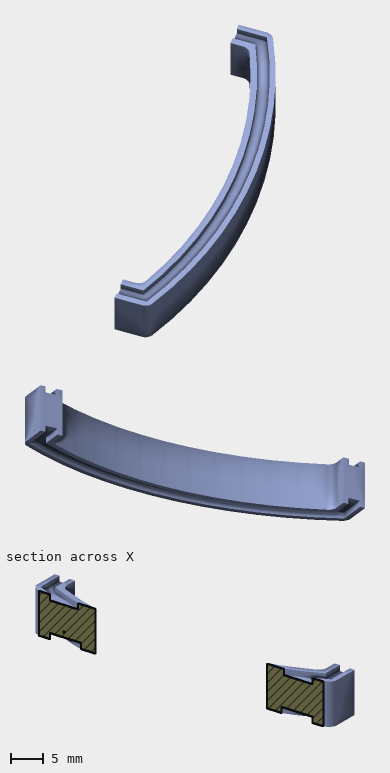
import cadquery as cq
import math

HEIGHT = 7.62
SPAN = 56.77
DEPTH = 12.17
BAR_WIDTH = 3.81
OUTER_RADIUS = 63.0
CORNER_RADIUS = 1.5

OUTER_WALL = 0.889
TOP_GROOVE_WIDTH = 1.905
BOTTOM_GROOVE_WIDTH = 2.06
GROOVE_DEPTH = 1.016

HALF_SPAN = SPAN / 2
ARC_CENTER_X = DEPTH - OUTER_RADIUS


def arc_corner(inset):
    """Point where the leg line meets the arc, both moved inward by inset."""
    y = HALF_SPAN - inset
    radius = OUTER_RADIUS - inset
    return ARC_CENTER_X + math.sqrt(radius**2 - y**2), y


def band(outer_inset, inner_inset, bottom, height):
    """Solid strip that follows the bow between two insets from its outer edge."""
    outer_x, outer_y = arc_corner(outer_inset)
    inner_x, inner_y = arc_corner(inner_inset)
    return (
        cq.Workplane("XY", origin=(0, 0, bottom))
        .moveTo(0, -outer_y)
        .lineTo(outer_x, -outer_y)
        .threePointArc((DEPTH - outer_inset, 0), (outer_x, outer_y))
        .lineTo(0, outer_y)
        .lineTo(0, inner_y)
        .lineTo(inner_x, inner_y)
        .threePointArc((DEPTH - inner_inset, 0), (inner_x, -inner_y))
        .lineTo(0, -inner_y)
        .close()
        .extrude(height)
    )


def make_bar():
    """Full-height bow with rounded bends between the legs and the arc."""
    bar = band(0, BAR_WIDTH, 0, HEIGHT)
    return bar.edges("|Z").edges("not <X").fillet(CORNER_RADIUS)


def make_groove(width, bottom):
    """Sharp-cornered cutter for one groove, open at both leg ends."""
    return band(OUTER_WALL, OUTER_WALL + width, bottom, GROOVE_DEPTH)


top_groove = make_groove(TOP_GROOVE_WIDTH, HEIGHT - GROOVE_DEPTH)
bottom_groove = make_groove(BOTTOM_GROOVE_WIDTH, 0)
result = make_bar().cut(top_groove).cut(bottom_groove)